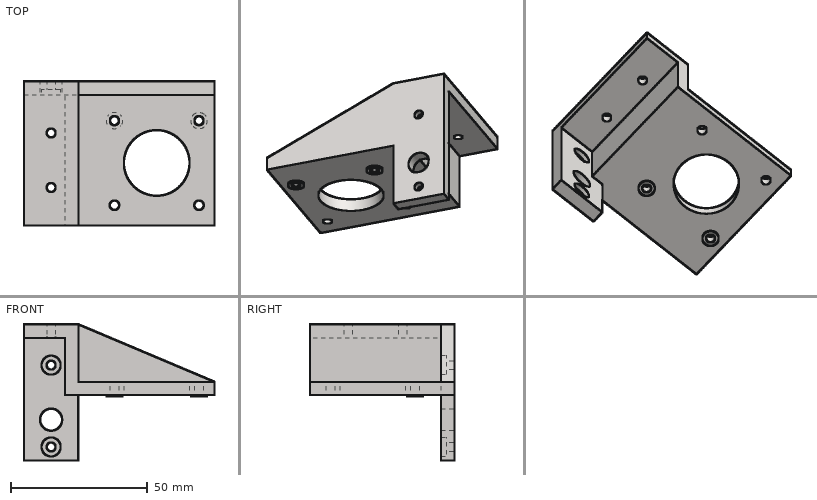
import cadquery as cq

length = 69.97
width = 53.0
height = 50.0
wall = 5.0

flange_length = 20.0
plate_bottom = 24.0
motor_plate_thickness = 4.9
plate_top = plate_bottom + motor_plate_thickness
back_inner_y = width - wall

flange_hole_diameter = 3.2
flange_hole_x = flange_length / 2
flange_hole_ys = (14.0, 34.0)

motor_x = 48.72
motor_y = 23.0
motor_bore_diameter = 24.0
motor_screw_pitch = 31.0
motor_screw_diameter = 3.4
motor_screw_xs = (motor_x - motor_screw_pitch / 2, motor_x + motor_screw_pitch / 2)
front_screw_y = motor_y - motor_screw_pitch / 2
rear_screw_y = motor_y + motor_screw_pitch / 2

boss_diameter = 6.0
boss_height = 0.5
boss_hole_diameter = 3.2

back_hole_x = flange_length / 2
back_screw_zs = (5.0, 35.0)
back_screw_diameter = 3.2
counterbore_diameter = 7.0
counterbore_depth = 2.0
back_bore_z = 15.0
back_bore_diameter = 8.0


def block(x_min, x_max, y_min, y_max, z_min, z_max):
    """Axis-aligned box given by its limits."""
    size = (x_max - x_min, y_max - y_min, z_max - z_min)
    return cq.Workplane("XY").box(*size, centered=False).translate((x_min, y_min, z_min))


def vertical_cylinder(x, y, diameter, z_min, z_max):
    base = cq.Workplane("XY", origin=(x, y, z_min))
    return base.circle(diameter / 2).extrude(z_max - z_min)


def back_cylinder(z, diameter, depth):
    """Cylinder running into the back plate from its inner face."""
    base = cq.Workplane("XZ", origin=(back_hole_x, back_inner_y, z))
    return base.circle(diameter / 2).extrude(-depth)


def step_bracket():
    flange = block(0, flange_length, 0, width, height - wall, height)
    upright = block(flange_length - wall, flange_length, 0, width, plate_bottom, height)
    motor_plate = block(flange_length - wall, length, 0, width, plate_bottom, plate_top)
    return flange.union(upright).union(motor_plate)


def back_plate():
    """Mounting strip with a triangular gusset that slopes down to the motor plate."""
    outline = [
        (0, 0),
        (flange_length, 0),
        (flange_length, plate_bottom),
        (length, plate_bottom),
        (length, plate_top),
        (flange_length, height),
        (0, height),
    ]
    base = cq.Workplane("XZ", origin=(0, back_inner_y, 0))
    return base.polyline(outline).close().extrude(-wall)


def add_bosses(body):
    """Drilled spacer bosses under the rear pair of motor screw holes only."""
    boss_bottom = plate_bottom - boss_height
    for x in motor_screw_xs:
        boss = vertical_cylinder(x, rear_screw_y, boss_diameter, boss_bottom, plate_bottom)
        hole = vertical_cylinder(x, rear_screw_y, boss_hole_diameter, boss_bottom, plate_top)
        body = body.union(boss).cut(hole)
    return body


def cut_motor_holes(body):
    for x in motor_screw_xs:
        for y in (front_screw_y, rear_screw_y):
            hole = vertical_cylinder(x, y, motor_screw_diameter, plate_bottom, plate_top)
            body = body.cut(hole)
    return body.cut(vertical_cylinder(motor_x, motor_y, motor_bore_diameter, plate_bottom, plate_top))


def cut_flange_holes(body):
    for y in flange_hole_ys:
        body = body.cut(vertical_cylinder(flange_hole_x, y, flange_hole_diameter, height - wall, height))
    return body


def cut_back_holes(body):
    for z in back_screw_zs:
        body = body.cut(back_cylinder(z, back_screw_diameter, wall))
        body = body.cut(back_cylinder(z, counterbore_diameter, counterbore_depth))
    return body.cut(back_cylinder(back_bore_z, back_bore_diameter, wall))


bracket = step_bracket().union(back_plate())
bracket = add_bosses(bracket)
bracket = cut_motor_holes(bracket)
bracket = cut_flange_holes(bracket)
result = cut_back_holes(bracket)